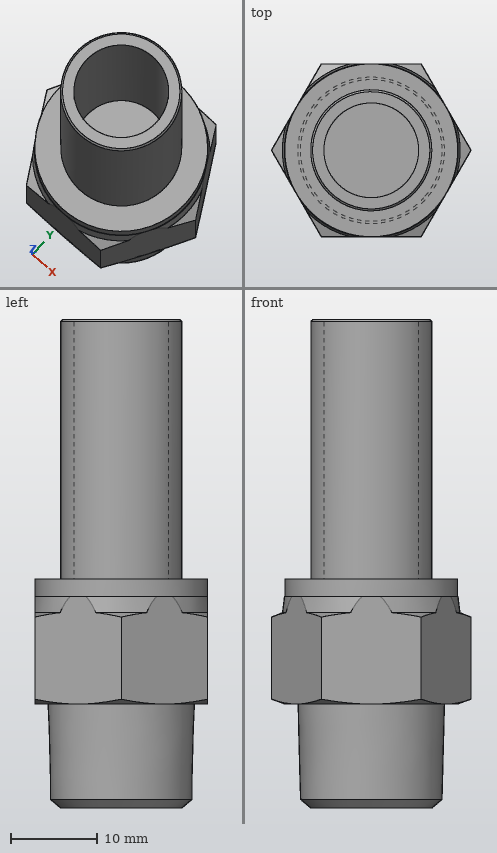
import cadquery as cq
import math

total_height = 56.5
thread_chamfer_height = 1.0
hex_bottom = 12.05
shoulder_bottom = 22.6
collar_bottom = 24.45
collar_top = 26.5

across_flats = 20.0
flat_radius = across_flats / 2
corner_radius = flat_radius / math.cos(math.pi / 6)
corner_bevel_bottom = 0.55
corner_bevel_top = 0.5

thread_tip_radius = 7.0
thread_small_radius = 8.2
thread_large_radius = 8.5
shoulder_bottom_radius = 10.3
shoulder_top_radius = 10.05

tube_radius = 7.0
bore_radius = 5.5
tube_edge_chamfer = 0.2
bore_depth = total_height - collar_top


def frustum(bottom, top, bottom_radius, top_radius):
    """Solid of revolution about Z with straight sides between two heights."""
    profile = [(0, bottom), (bottom_radius, bottom), (top_radius, top), (0, top)]
    return cq.Workplane("XZ").polyline(profile).close().revolve(360, (0, 0), (0, 1))


def make_thread():
    """Tapered thread blank with a beveled tip."""
    tip = frustum(0, thread_chamfer_height, thread_tip_radius, thread_small_radius)
    taper = frustum(thread_chamfer_height, hex_bottom, thread_small_radius, thread_large_radius)
    return tip.union(taper)


def make_hex_body():
    """Hexagon whose corners are turned away, leaving a conical shoulder cut by the flats."""
    turned_profile = [
        (0, hex_bottom),
        (flat_radius, hex_bottom),
        (corner_radius, hex_bottom + corner_bevel_bottom),
        (corner_radius, shoulder_bottom - corner_bevel_top),
        (shoulder_bottom_radius, shoulder_bottom),
        (shoulder_top_radius, collar_bottom),
        (0, collar_bottom),
    ]
    turned = cq.Workplane("XZ").polyline(turned_profile).close().revolve(360, (0, 0), (0, 1))
    prism = (
        cq.Workplane("XY")
        .workplane(offset=hex_bottom)
        .polygon(6, 2 * corner_radius)
        .extrude(collar_bottom - hex_bottom)
    )
    return prism.intersect(turned)


def make_tube():
    """Round tube stub with a broken outer edge at its open end."""
    stub = cq.Workplane("XY").workplane(offset=collar_top).circle(tube_radius)
    return stub.extrude(total_height - collar_top).faces(">Z").chamfer(tube_edge_chamfer)


collar = frustum(collar_bottom, collar_top, flat_radius, flat_radius)
bore = frustum(total_height - bore_depth, total_height, bore_radius, bore_radius)

result = make_thread().union(make_hex_body()).union(collar).union(make_tube()).cut(bore)